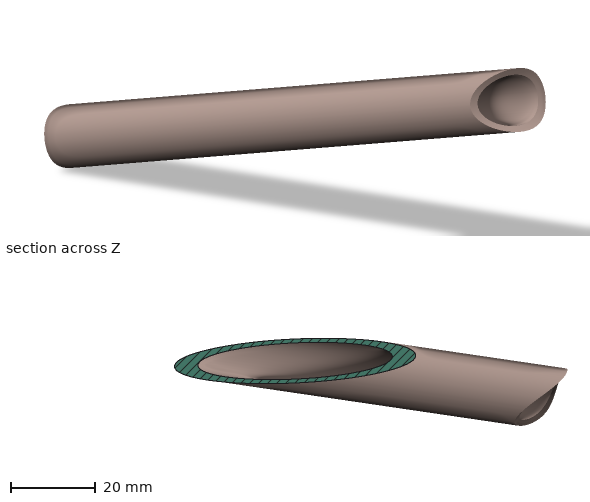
import cadquery as cq

tube_diameter = 15.0
wall = 1.5
rail_radius = 12.5

span_x = 112.5
span_y = 92.3
span_z = 39.6

span = cq.Vector(span_x, span_y, span_z)
lower_node = span * -0.5
upper_node = span * 0.5
rail_length = 2 * span_y


def make_tube():
    """Hollow tube from one rail axis to the other, before coping."""
    section_plane = cq.Plane(origin=lower_node, normal=span)
    return (
        cq.Workplane(section_plane)
        .circle(tube_diameter / 2)
        .circle(tube_diameter / 2 - wall)
        .extrude(span.Length)
    )


def make_rail(node):
    """Solid rail along Y whose surface shapes one coped tube end."""
    rail_start = cq.Vector(node.x, node.y - rail_length / 2, node.z)
    rail_direction = cq.Vector(0, 1, 0)
    rail = cq.Solid.makeCylinder(rail_radius, rail_length, rail_start, rail_direction)
    return cq.Workplane(obj=rail)


result = make_tube()
for node in (lower_node, upper_node):
    result = result.cut(make_rail(node))